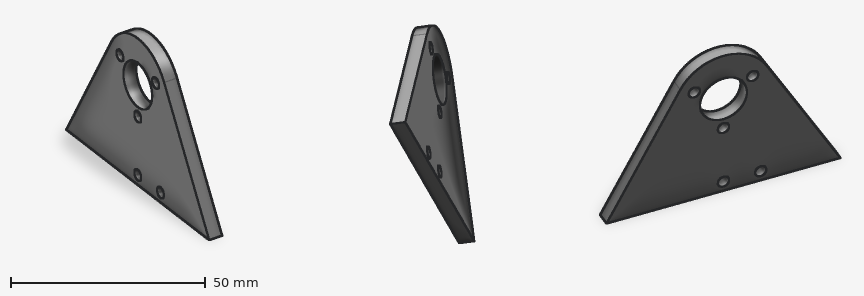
import cadquery as cq
import math

base_width = 66.0
thickness = 4.0
bore_height = 29.95
top_radius = 14.0
bore_diameter = 13.2
screw_diameter = 3.2
screw_circle_radius = 9.5
screw_angles = (30, 150, 270)
foot_hole_height = 3.0
foot_hole_spacing = 10.5

half_width = base_width / 2
corner_distance = math.hypot(half_width, bore_height)
corner_angle = math.atan2(bore_height, half_width)
side_angle = corner_angle + math.asin(top_radius / corner_distance)
tangent_x = top_radius * math.sin(side_angle)
tangent_z = bore_height + top_radius * math.cos(side_angle)


def plate():
    return (
        cq.Workplane("XZ")
        .moveTo(-half_width, 0)
        .lineTo(half_width, 0)
        .lineTo(tangent_x, tangent_z)
        .threePointArc((0, bore_height + top_radius), (-tangent_x, tangent_z))
        .close()
        .extrude(thickness)
    )


def through_holes(centers, diameter):
    return cq.Workplane("XZ").pushPoints(centers).circle(diameter / 2).extrude(thickness)


bore_screws = []
for angle in screw_angles:
    x = screw_circle_radius * math.cos(math.radians(angle))
    z = bore_height + screw_circle_radius * math.sin(math.radians(angle))
    bore_screws.append((x, z))

foot_holes = [(0, foot_hole_height), (foot_hole_spacing, foot_hole_height)]

result = (
    plate()
    .cut(through_holes([(0, bore_height)], bore_diameter))
    .cut(through_holes(bore_screws + foot_holes, screw_diameter))
)